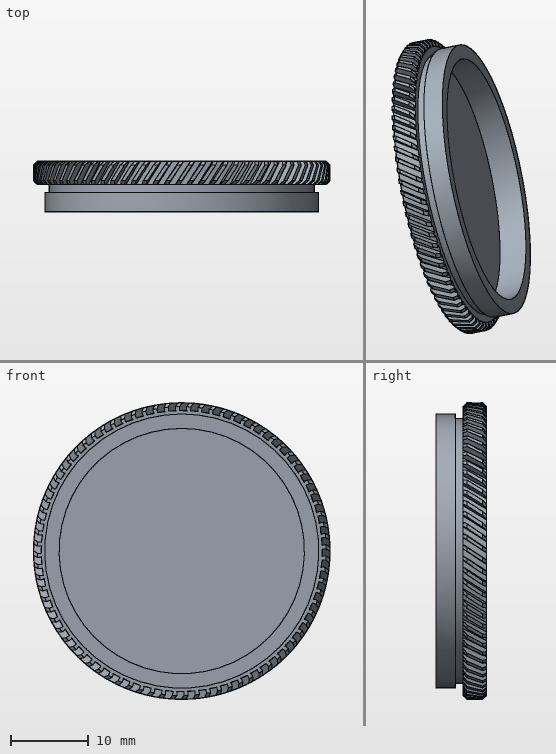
import cadquery as cq
import math

rim_radius = 19.05
rim_thickness = 3.0
rim_chamfer = 0.5
neck_radius = 17.05
neck_length = 1.0
lip_radius = 17.6
lip_length = 2.5
bore_radius = 15.75

groove_count = 80
groove_depth = 1.0
groove_width = 0.92
groove_phase = 0.55
helix_angle = 34.0

neck_start_y = lip_length
rim_start_y = neck_start_y + neck_length
bore_depth = lip_length + neck_length
groove_floor_radius = rim_radius - groove_depth
groove_pitch = 360 / groove_count
groove_twist = math.degrees(rim_thickness * math.tan(math.radians(helix_angle)) / rim_radius)


def section_at(start_y):
    """Sketch plane across the Y axis, with local x along +Z and local y along +X."""
    return cq.Workplane("ZX", origin=(0, start_y, 0))


def disc(radius, start_y, length):
    """Cylinder on the Y axis, running from start_y towards +Y."""
    return section_at(start_y).circle(radius).extrude(length)


def groove_corner(groove_angle, radius, side):
    """Corner of a groove; side is -1 or +1 across the groove's centre line."""
    half_width_angle = math.asin(groove_width / 2 / radius)
    angle = math.radians(groove_angle) + side * half_width_angle
    return (radius * math.cos(angle), radius * math.sin(angle))


def twisted_teeth():
    """Toothed outline of the rim, twisted along the rim's thickness."""
    outline = []
    for index in range(groove_count):
        angle = groove_phase + index * groove_pitch
        outline.append(groove_corner(angle, rim_radius, -1))
        outline.append(groove_corner(angle, groove_floor_radius, -1))
        outline.append(groove_corner(angle, groove_floor_radius, 1))
        outline.append(groove_corner(angle, rim_radius, 1))
    return section_at(rim_start_y).polyline(outline).close().twistExtrude(rim_thickness, groove_twist)


def knurled_rim():
    """Disc with both outer edges chamfered, kept only where the twisted teeth are."""
    blank = disc(rim_radius, rim_start_y, rim_thickness).faces("<Y or >Y").edges().chamfer(rim_chamfer)
    return blank.intersect(twisted_teeth())


neck = disc(neck_radius, neck_start_y, neck_length)
lip = disc(lip_radius, 0, lip_length)
bore = disc(bore_radius, 0, bore_depth)

result = knurled_rim().union(neck.union(lip).cut(bore))